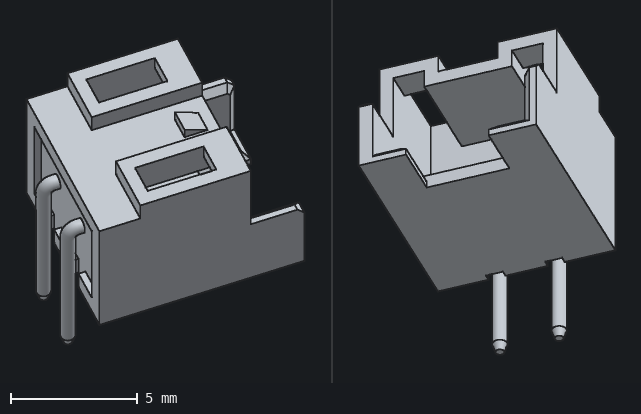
import cadquery as cq
import math


width = 7.51
length = 8.78
roof_top = 5.64
body_end = 6.48
half_width = width / 2
wall = 0.59
recess_depth = 0.3

block_top = 6.43
block_start = 1.75
block_width = width / 3
slot_width = 1.31
slot_start = 2.32
slot_end = 5.25

arm_top = 3.22
arm_width = 2.01
arm_chamfer = 0.31
facet_setback = 0.12

recess_margin = 0.8
recess_bottom = 0.82
recess_top = 4.81

ramp_width = 0.99
ramp_start = 5.0
ramp_length = 0.99
ramp_height = 0.46

pin_pitch = width / 3
pin_diameter = 0.61
pin_radius = pin_diameter / 2
bend_radius = 0.41
bend_height = 2.81
pin_tip = block_top - 9.9
tip_length = 0.39
tip_diameter = 0.36
notch_width = 0.71


def box(x0, x1, y0, y1, z0, z1):
    """Box between two opposite corners."""
    return cq.Workplane("XY").box(x1 - x0, y1 - y0, z1 - z0, centered=False).translate((x0, y0, z0))


def both_sides(left):
    """A left-hand feature together with its mirror image."""
    return left.union(left.mirror("YZ"))


def make_body():
    """Main block with the two raised blocks on its roof."""
    body = box(-half_width, half_width, 0, body_end, 0, roof_top)
    block = box(-half_width, block_width - half_width, block_start, body_end, 0, block_top)
    return body.union(both_sides(block))


def make_cavity():
    """Mating cavity open at the +Y end, with a taller channel and a roof slot under each block."""
    inner = half_width - wall
    cavity = box(-inner, inner, slot_start, body_end, wall, roof_top - wall)
    channel = box(-inner, slot_width - inner, slot_start, body_end, wall, block_top - wall)
    slot = box(-inner, slot_width - inner, slot_start, slot_end, wall, block_top)
    return cavity.union(both_sides(channel.union(slot)))


def make_arm_floor():
    """Floor plate of the left arm, chamfered along its end and inner edges."""
    floor = box(-half_width, arm_width - half_width, body_end, length, 0, wall)
    return floor.faces(">Z").edges(">X or >Y").chamfer(arm_chamfer)


def make_arm_wall():
    """Outer wall of the left arm, chamfered along its end and inner edges."""
    side = box(-half_width, wall - half_width, body_end, length, 0, arm_top)
    return side.faces(">Z").edges(">X or >Y").chamfer(arm_chamfer)


def make_corner_cut():
    """Cutter for the free inner corner of the left arm wall: a vertical bevel and a sloping facet."""
    inner_x = wall - half_width
    bevel = (
        cq.Workplane("XY")
        .moveTo(inner_x - arm_chamfer, length)
        .lineTo(inner_x, length)
        .lineTo(inner_x, length - arm_chamfer)
        .close()
        .extrude(arm_top)
    )
    facet_start = cq.Vector(inner_x - arm_chamfer, length - arm_chamfer, arm_top)
    along_facet = cq.Vector(0, 1, -1)
    facet_plane = cq.Plane(origin=facet_start, xDir=(1, 0, 0), normal=along_facet)
    facet_drop = (arm_chamfer + facet_setback) / math.sqrt(2)
    facet = (
        cq.Workplane(facet_plane)
        .polyline([(0, 0), (arm_chamfer, 0), (arm_chamfer, facet_drop)])
        .close()
        .extrude(2 * arm_chamfer, both=True)
    )
    return bevel.union(facet)


def make_arms():
    """Both arms; only the left wall has the bevelled free corner."""
    plain_wall = make_arm_wall()
    bevelled_wall = plain_wall.cut(make_corner_cut())
    floors = both_sides(make_arm_floor())
    return floors.union(bevelled_wall).union(plain_wall.mirror("YZ"))


def make_rear_recess():
    """Shallow rear pocket with a notch down to the base behind each pin."""
    half_recess = half_width - recess_margin
    recess = box(-half_recess, half_recess, 0, recess_depth, recess_bottom, recess_top)
    notch_left = -(pin_pitch + notch_width) / 2
    notch = box(notch_left, notch_left + notch_width, 0, recess_depth, 0, recess_bottom)
    return recess.union(both_sides(notch))


def make_ramp():
    """Wedge with a steep rear face, sloping down toward the +Y end."""
    return (
        cq.Workplane("YZ")
        .moveTo(ramp_start, roof_top)
        .lineTo(ramp_start, roof_top + ramp_height)
        .lineTo(ramp_start + ramp_length, roof_top)
        .close()
        .extrude(ramp_width / 2, both=True)
    )


def make_pin():
    """Round pin leaving the rear wall, bent downward and ending in a tapered tip."""
    leg_y = -pin_radius
    bend_y = leg_y + bend_radius
    bend_step = bend_radius * math.sin(math.pi / 4)
    taper_start = pin_tip + tip_length
    path = (
        cq.Workplane("YZ")
        .moveTo(leg_y, taper_start)
        .lineTo(leg_y, bend_height)
        .threePointArc(
            (bend_y - bend_step, bend_height + bend_step),
            (bend_y, bend_height + bend_radius),
        )
        .lineTo(slot_start, bend_height + bend_radius)
    )
    shaft = (
        cq.Workplane("XY", origin=(0, leg_y, taper_start))
        .circle(pin_radius)
        .sweep(path)
    )
    tip = (
        cq.Workplane("XY", origin=(0, leg_y, pin_tip))
        .circle(tip_diameter / 2)
        .workplane(offset=tip_length)
        .circle(pin_radius)
        .loft()
    )
    return shaft.union(tip).translate((-pin_pitch / 2, 0, 0))


housing = make_body().cut(make_cavity())
housing = housing.union(make_arms())
housing = housing.cut(make_rear_recess()).union(make_ramp())

result = housing.union(both_sides(make_pin()))